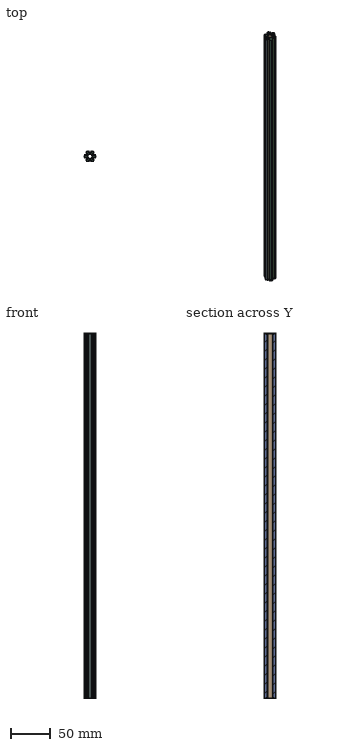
import cadquery as cq
import math

SIDES = 6
ACROSS_FLATS = 12.7
LENGTH = 457.2
BORE_DIAMETER = 6.0
GROOVE_DIAMETER = 3.175

FULL_TURN = 360
HALF_SIDE_ANGLE = FULL_TURN / SIDES / 2
ACROSS_CORNERS = ACROSS_FLATS / math.cos(math.radians(HALF_SIDE_ANGLE))


def hex_bar():
    return cq.Workplane("XY").polygon(SIDES, ACROSS_CORNERS).extrude(LENGTH)


def bore():
    """Round hole through the full length of the bar."""
    return cq.Workplane("XY").circle(BORE_DIAMETER / 2).extrude(LENGTH)


def grooves():
    """Full-length cylinders centred on each flat, so each cuts a half-round groove."""
    return (
        cq.Workplane("XY")
        .polarArray(ACROSS_FLATS / 2, HALF_SIDE_ANGLE, FULL_TURN, SIDES)
        .circle(GROOVE_DIAMETER / 2)
        .extrude(LENGTH)
    )


result = hex_bar().cut(bore()).cut(grooves())